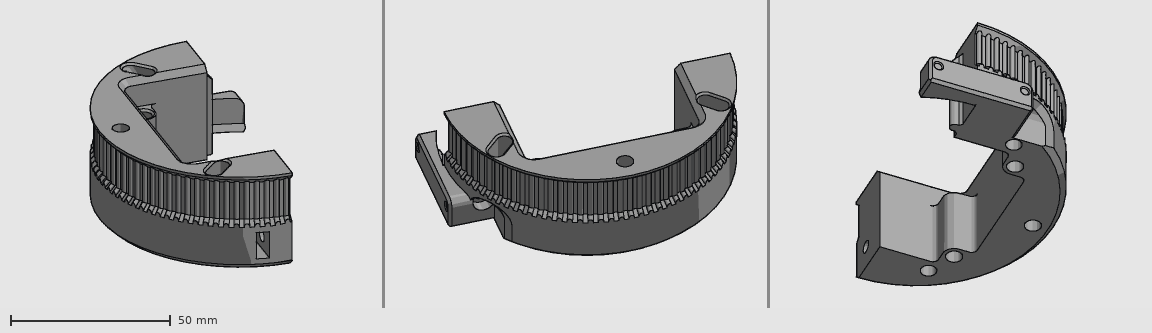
import cadquery as cq
import math

rim_radius = 47.0
height = 33.0
split_y = -0.2
bottom_chamfer = 2.0

root_radius = 45.0
tooth_radius = 0.9
teeth_per_turn = 90
flange_edge = 1.0
base_rim_top = 15.2
rim_overhang = rim_radius - root_radius
band_bottom = base_rim_top + rim_overhang
band_top = height - flange_edge - rim_overhang

channel_half_width = 28.7
channel_depth = 28.8
channel_corner_radius = 3.2
channel_chamfer = 2.1

lug_x = 23.6
lug_y = -23.4
lug_radius = 3.9
lug_height = 23.2
lug_fillet = 2.0
lug_hole_diameter = 5.4
lug_hole_mouth_diameter = 6.85

web_hole_diameter = 5.4
web_hole_y = -39.9
slot_hole_x = 33.0
slot_hole_y = -18.8
slot_hole_diameter = 5.2
slot_offset = 3.9
slot_reach = slot_offset * math.sqrt(2)
slot_drop = 6.85
slot_chamfer = 0.7

screw_x = 39.4
screw_z = 8.5
screw_hole_diameter = 4.2
screw_head_radius = 3.5
screw_head_depth = 3.9
pocket_flare = 2.0
nut_slot_length = 9.3
nut_slot_thickness = 4.1
nut_slot_y = -9.7
nut_side_flat_x = 46.7

pad_outer_x = -50.9
pad_inner_x = -34.25
pad_front_y = -17.9
pad_back_y = 18.0
pad_height = 11.0
pad_round = 2.9
pad_chamfer = 1.0
pad_clearance = 0.3
pad_recess_diameter = 3.3
pad_recess_floor_diameter = 2.5
pad_recess_spacing = 29.7
pad_recess_y = 0.1
pad_recess_z = 6.8

rib_x = -33.0
rib_tip_radius = 1.6
rib_tip_y = 3.1
rib_base_width = 5.0
rib_top = 29.4


def cylinder_z(x, y, radius, length):
    return cq.Workplane("XY", origin=(x, y, 0)).circle(radius).extrude(length)


def cylinder_y(x, y_start, y_end, radius):
    return cq.Workplane("XZ", origin=(x, y_start, screw_z)).circle(radius).extrude(y_start - y_end)


def block(x_range, y_range, z_range):
    corners = zip(x_range, y_range, z_range)
    low, high = (cq.Vector(*corner) for corner in corners)
    size = high - low
    return cq.Workplane("XY").box(size.x, size.y, size.z, centered=False).translate(low)


def front_half():
    side = 2 * rim_radius
    return block((-side, side), (-side, split_y), (0, height))


def chamfered_disc(radius):
    return cylinder_z(0, 0, radius, height).faces("<Z").chamfer(bottom_chamfer)


def half_disc_with_pocket():
    """Half disc with the screw head's pocket, flared where it breaks out of the rim."""
    centre_x = -screw_x
    tunnel = (
        cq.Workplane("XZ", origin=(0, pad_front_y + screw_head_depth, 0))
        .moveTo(centre_x + screw_head_radius, 0)
        .lineTo(centre_x + screw_head_radius, screw_z)
        .threePointArc((centre_x, screw_z + screw_head_radius), (centre_x - screw_head_radius, screw_z))
        .lineTo(centre_x - screw_head_radius, 0)
        .close()
        .extrude(rim_radius)
    )
    mouth = cq.selectors.BoxSelector(
        (-rim_radius, -rim_radius, bottom_chamfer),
        (-screw_x + 2 * screw_head_radius, pad_front_y, band_bottom),
    )
    pocketed = cylinder_z(0, 0, rim_radius, height).intersect(front_half()).cut(tunnel)
    return pocketed.edges(mouth).chamfer(pocket_flare).intersect(chamfered_disc(rim_radius))


def toothed_core():
    """Solid of revolution with the teeth, running past the rim where the half disc trims it."""
    spare = 1.0
    core = (
        cq.Workplane("XZ")
        .lineTo(rim_radius + spare, 0)
        .lineTo(rim_radius + spare, base_rim_top - spare)
        .lineTo(root_radius, band_bottom)
        .lineTo(root_radius, band_top)
        .lineTo(root_radius + height - band_top, height)
        .lineTo(0, height)
        .close()
        .revolve(360, (0, 0, 0), (0, 1, 0))
    )
    stem_start = cq.Vector(root_radius, 0, band_bottom - tooth_radius)
    stem = cq.Solid.makeCylinder(tooth_radius, height - flange_edge - stem_start.z, stem_start)
    foot_start = cq.Vector(root_radius - spare, 0, band_bottom + spare)
    foot_length = (rim_overhang + 2 * spare) * math.sqrt(2)
    foot = cq.Solid.makeCylinder(tooth_radius, foot_length, foot_start, cq.Vector(1, 0, -1))
    tooth = stem.fuse(foot)
    step = 360 / teeth_per_turn
    teeth = [
        tooth.rotate(cq.Vector(0, 0, 0), cq.Vector(0, 0, 1), -step * (i + 0.5))
        for i in range(teeth_per_turn // 2)
    ]
    return cq.Workplane(core.val().fuse(*teeth))


def channel():
    straight = (
        cq.Workplane("XY")
        .rect(2 * channel_half_width, 2 * channel_depth)
        .extrude(height)
        .edges("|Z").fillet(channel_corner_radius)
    )
    mouth = (
        cq.Workplane("XY", origin=(0, 0, height))
        .sketch()
        .rect(2 * (channel_half_width + channel_chamfer), 2 * (channel_depth + channel_chamfer))
        .vertices().fillet(channel_corner_radius + channel_chamfer)
        .finalize()
        .extrude(-channel_chamfer, taper=45)
    )
    return straight.union(mouth)


def left_lug():
    """Corner lug with fillets where it runs into the two channel walls."""
    wall_x = -channel_half_width
    wall_y = -channel_depth
    inner_x = -lug_x + lug_radius
    inner_y = lug_y + lug_radius
    buried = 1.0
    solid = (
        cq.Workplane("XY")
        .moveTo(wall_x - buried, wall_y - buried)
        .lineTo(wall_x - buried, inner_y + lug_fillet)
        .lineTo(wall_x, inner_y + lug_fillet)
        .radiusArc((wall_x + lug_fillet, inner_y), -lug_fillet)
        .lineTo(-lug_x, inner_y)
        .radiusArc((inner_x, lug_y), lug_radius)
        .lineTo(inner_x, wall_y + lug_fillet)
        .radiusArc((inner_x + lug_fillet, wall_y), -lug_fillet)
        .lineTo(inner_x + lug_fillet, wall_y - buried)
        .close()
        .extrude(lug_height)
    )
    hole = cylinder_z(-lug_x, lug_y, lug_hole_diameter / 2, lug_height)
    mouth = (
        cq.Workplane("XY", origin=(-lug_x, lug_y, lug_height))
        .circle(lug_hole_mouth_diameter / 2)
        .extrude(-(lug_hole_mouth_diameter - lug_hole_diameter) / 2, taper=45)
    )
    return solid.cut(hole).cut(mouth)


def left_ramped_slot():
    """Through hole whose mouth widens outwards along a round-bottomed ramp."""
    radius = slot_hole_diameter / 2
    outwards = (-1, -1, 0)
    upright = cq.Plane(origin=(-slot_hole_x, slot_hole_y, 0), xDir=outwards, normal=(-1, 1, 0))
    ramp_top = height - slot_chamfer
    ramp_low = ramp_top - slot_drop
    start = upright.toWorldCoords((0, ramp_low, 0))
    end = upright.toWorldCoords((slot_reach, ramp_top, 0))
    hole = cylinder_z(-slot_hole_x, slot_hole_y, radius, height)
    ramp = cq.Workplane(cq.Solid.makeCylinder(radius, (end - start).Length, start, end - start))
    ramp_end = cq.Workplane("XY", origin=end.toTuple()).sphere(radius)
    above_ramp = (
        cq.Workplane(upright)
        .polyline([(0, ramp_low), (slot_reach, ramp_top), (slot_reach, height), (0, height)])
        .close()
        .extrude(radius, both=True)
    )
    mouth_width = slot_hole_diameter + 2 * slot_chamfer
    top_face = cq.Plane(origin=(-slot_hole_x, slot_hole_y, height), xDir=outwards, normal=(0, 0, 1))
    mouth = (
        cq.Workplane(top_face)
        .center(slot_reach / 2, 0)
        .slot2D(slot_reach + mouth_width, mouth_width)
        .extrude(-slot_chamfer, taper=45)
    )
    return hole.union(ramp).union(ramp_end).union(above_ramp).union(mouth)


def pad():
    """Rounded bar whose back end is hollowed to seat the other pulley half."""
    bar = (
        block((pad_outer_x, pad_inner_x), (pad_front_y, pad_back_y), (0, pad_height))
        .edges("|X and >Z").fillet(pad_round)
        .faces("<X").edges().chamfer(pad_chamfer)
        .edges("|X and <Z").chamfer(pad_chamfer)
    )
    seat = chamfered_disc(rim_radius + pad_clearance).cut(front_half())
    recesses = (
        cq.Workplane("YZ", origin=(pad_outer_x, pad_recess_y, pad_recess_z))
        .pushPoints([(-pad_recess_spacing / 2, 0), (pad_recess_spacing / 2, 0)])
        .circle(pad_recess_diameter / 2)
        .extrude((pad_recess_diameter - pad_recess_floor_diameter) / 2, taper=45)
    )
    return bar.cut(seat).cut(recesses)


def rib():
    """Round-tipped rib with a flared root and a top sloping down at 45 degrees."""
    neck_y = rib_tip_y - rib_tip_radius
    half_base = rib_base_width / 2
    flare_end_y = split_y + half_base - rib_tip_radius
    buried_y = split_y - 1.0
    column = (
        cq.Workplane("XY")
        .moveTo(rib_x - half_base, buried_y)
        .lineTo(rib_x - half_base, split_y)
        .lineTo(rib_x - rib_tip_radius, flare_end_y)
        .lineTo(rib_x - rib_tip_radius, neck_y)
        .threePointArc((rib_x, rib_tip_y), (rib_x + rib_tip_radius, neck_y))
        .lineTo(rib_x + rib_tip_radius, flare_end_y)
        .lineTo(rib_x + half_base, split_y)
        .lineTo(rib_x + half_base, buried_y)
        .close()
        .extrude(rib_top)
    )
    slope_length = rib_base_width
    above_slope = (
        cq.Workplane("YZ", origin=(rib_x, split_y, 0))
        .moveTo(0, rib_top)
        .lineTo(slope_length, rib_top)
        .lineTo(slope_length, rib_top - slope_length)
        .close()
        .extrude(rib_base_width, both=True)
    )
    return column.cut(above_slope)


def screw_hole(x):
    return cylinder_y(x, split_y, pad_front_y, screw_hole_diameter / 2)


def head_counterbore():
    return cylinder_y(-screw_x, pad_front_y + screw_head_depth, pad_front_y, screw_head_radius)


def nut_pocket():
    """Nut slot open at the rim and the small flat on the rim beside it."""
    slot_box = block(
        (screw_x - nut_slot_length / 2, rim_radius),
        (nut_slot_y - nut_slot_thickness / 2, nut_slot_y + nut_slot_thickness / 2),
        (screw_z - nut_slot_length / 2, screw_z + nut_slot_length / 2),
    )
    flat = block((nut_side_flat_x, rim_radius), (pad_front_y, split_y), (bottom_chamfer, band_bottom))
    return slot_box.union(flat)


left_screw_hole = screw_hole(-screw_x)
body = half_disc_with_pocket().cut(channel()).cut(left_screw_hole).cut(screw_hole(screw_x))
body = body.cut(nut_pocket()).intersect(toothed_core())
body = body.union(pad().cut(left_screw_hole).cut(head_counterbore())).union(rib())

lug = left_lug()
body = body.union(lug).union(lug.mirror("YZ"))

slot = left_ramped_slot()
body = body.cut(slot).cut(slot.mirror("YZ"))
result = body.cut(cylinder_z(0, web_hole_y, web_hole_diameter / 2, height))